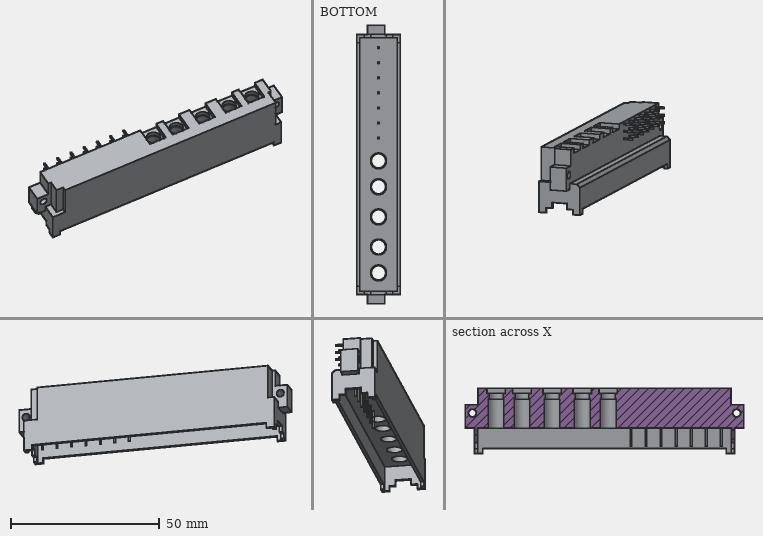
import cadquery as cq

WIDTH = 14.8
HEIGHT = 22.1
LENGTH = 94.0
MID_X = WIDTH / 2

BASE_LENGTH = 87.7
BASE_TOP = 10.6
BASE_CHAMFER = 1.1

FOOT_HEIGHT = 1.7
FOOT_WIDTH = 2.5
FOOT_LENGTH = 2.8
SLOT_WIDTH = 5.4
SLOT_TOP = 3.7

WALL = 1.0
CAVITY_TOP = 8.65

BLOCK_LEFT = 3.7
BLOCK_LENGTH = 85.4
STEP_X = 9.5
STEP_LENGTH = 1.0
CORNER_NOTCH_WIDTH = 1.4
CORNER_NOTCH_LENGTH = 3.6

EAR_BOTTOM = CAVITY_TOP
EAR_TOP = 16.5
EAR_HOLE_DIAMETER = 2.5
EAR_HOLE_Y = 44.6
EAR_HOLE_Z = 13.7

POCKET_RIGHT = 10.5
POCKET_WIDTH = 6.1
POCKET_DEPTH = 1.7
BORE_DIAMETER = 4.8
SOCKET_DIAMETER = 5.4
SOCKET_TOP = 18.4
BORE_MIDDLE_Y = 17.7
INNER_PITCH = 10.15
OUTER_PITCH = 8.7

PIN_DIAMETER = 0.6
PIN_COLUMNS = 7
PIN_ROWS = 3
PIN_ROW_PITCH = 2.5
PIN_COLUMN_PITCH = 2 * PIN_ROW_PITCH
PIN_FIRST_Y = -8.9
PIN_TOP_Z = 21.2
PIN_TIP_X = 0.6
PIN_EMBED = 0.9
MATING_TIP_Z = 2.4


def block(x_range, y_range, z_range):
    """Box spanning the given (low, high) ranges."""
    lows, highs = zip(x_range, y_range, z_range)
    sizes = [high - low for low, high in zip(lows, highs)]
    return cq.Workplane("XY").box(*sizes, centered=False).translate(lows)


def centred(length):
    """Range of the given length, centred on zero."""
    return (-length / 2, length / 2)


def lower_shell():
    base = block((0, WIDTH), centred(BASE_LENGTH), (0, BASE_TOP))
    base = base.edges("<X and >Z").chamfer(BASE_CHAMFER)
    between_sides = block((FOOT_WIDTH, WIDTH - FOOT_WIDTH), centred(LENGTH), (0, FOOT_HEIGHT))
    between_ends = block((0, WIDTH), centred(BASE_LENGTH - 2 * FOOT_LENGTH), (0, FOOT_HEIGHT))
    slot = block((MID_X - SLOT_WIDTH / 2, MID_X + SLOT_WIDTH / 2), centred(LENGTH), (0, SLOT_TOP))
    cavity = block(
        (WALL, WIDTH - WALL),
        centred(BASE_LENGTH - 2 * WALL),
        (0, CAVITY_TOP),
    )
    return base.cut(between_sides).cut(between_ends).cut(slot).cut(cavity)


def upper_block():
    narrow_length = BLOCK_LENGTH - 2 * STEP_LENGTH
    long_side = block((BLOCK_LEFT, STEP_X), centred(BLOCK_LENGTH), (CAVITY_TOP, HEIGHT))
    short_side = block((STEP_X, WIDTH), centred(narrow_length), (CAVITY_TOP, HEIGHT))
    notch_y = -narrow_length / 2
    corner_notch = block(
        (WIDTH - CORNER_NOTCH_WIDTH, WIDTH),
        (notch_y, notch_y + CORNER_NOTCH_LENGTH - STEP_LENGTH),
        (BASE_TOP, HEIGHT),
    )
    return long_side.union(short_side).cut(corner_notch)


def mounting_ears():
    ears = block((BLOCK_LEFT, STEP_X), centred(LENGTH), (EAR_BOTTOM, EAR_TOP))
    holes = (
        cq.Workplane("YZ")
        .pushPoints([(-EAR_HOLE_Y, EAR_HOLE_Z), (EAR_HOLE_Y, EAR_HOLE_Z)])
        .circle(EAR_HOLE_DIAMETER / 2)
        .extrude(WIDTH)
    )
    return ears.cut(holes)


def power_contact_cutters():
    outer_offset = INNER_PITCH + OUTER_PITCH
    cutters = cq.Workplane("XY")
    for offset in (-outer_offset, -INNER_PITCH, 0, INNER_PITCH, outer_offset):
        y = BORE_MIDDLE_Y + offset
        pocket = block(
            (BLOCK_LEFT, POCKET_RIGHT),
            (y - POCKET_WIDTH / 2, y + POCKET_WIDTH / 2),
            (HEIGHT - POCKET_DEPTH, HEIGHT),
        )
        bore = cq.Workplane("XY").center(MID_X, y).circle(BORE_DIAMETER / 2).extrude(HEIGHT)
        socket = cq.Workplane("XY").center(MID_X, y).circle(SOCKET_DIAMETER / 2).extrude(SOCKET_TOP)
        cutters = cutters.add(pocket).add(bore).add(socket)
    return cutters.combine()


def signal_pins():
    columns = [PIN_FIRST_Y - i * PIN_COLUMN_PITCH for i in range(PIN_COLUMNS)]
    rows = [PIN_TOP_Z - i * PIN_ROW_PITCH for i in range(PIN_ROWS)]
    solder_pins = (
        cq.Workplane("YZ", origin=(PIN_TIP_X, 0, 0))
        .pushPoints([(y, z) for y in columns for z in rows])
        .circle(PIN_DIAMETER / 2)
        .extrude(BLOCK_LEFT + PIN_EMBED - PIN_TIP_X)
    )
    mating_pins = (
        cq.Workplane("XY", origin=(0, 0, MATING_TIP_Z))
        .pushPoints([(MID_X, y) for y in columns])
        .circle(PIN_DIAMETER / 2)
        .extrude(CAVITY_TOP + PIN_EMBED - MATING_TIP_Z)
    )
    return solder_pins, mating_pins


result = lower_shell().union(upper_block()).union(mounting_ears())
result = result.cut(power_contact_cutters())
for pins in signal_pins():
    result = result.union(pins)